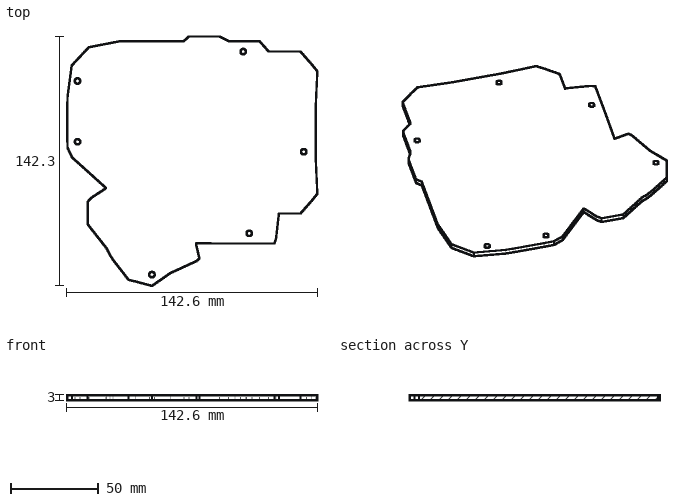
import cadquery as cq

width = 142.63
depth = 142.27
thickness = 3.0
hole_diameter = 3.0

top_edge_y = 139.6
bottom_edge_y = 24.1
notch_corner_y = 24.3

right_end_mid_y = 87.45
shoulder_offset = 46.25
right_end_half = [
    (132.9, shoulder_offset),
    (139.2, 39.1),
    (width, 34.9),
    (141.7, 14.9),
]

left_and_top_edge = [
    (0.1, 78.9),
    (0, 84.6),
    (0, 102.6),
    (0.1, 107.6),
    (2.5, 125.6),
    (12.3, 136.1),
    (30.2, top_edge_y),
    (66.5, top_edge_y),
    (69.3, depth),
    (86.7, depth),
    (92.0, top_edge_y),
    (109.6, top_edge_y),
    (114.8, right_end_mid_y + shoulder_offset),
]

bottom_edge = [
    (120.7, right_end_mid_y - shoulder_offset),
    (119.1, 27.1),
    (118.1, bottom_edge_y),
    (95.7, bottom_edge_y),
    (73.4, notch_corner_y),
]

lobe_edge = [
    (75.4, 15.7),
    (73.8, 14.2),
    (58.8, 7.3),
    (48.3, 0),
    (39.0, 2.5),
    (35.0, 3.4),
    (26.0, 15.0),
    (24.4, 17.5),
    (22.3, 21.6),
    (11.6, 35.2),
    (11.6, 48.0),
    (13.9, 50.4),
    (22.1, 55.8),
    (2.7, 73.3),
]

hole_centers = [
    (5.9, 116.8),
    (5.9, 82.2),
    (100.3, 133.6),
    (134.8, 76.5),
    (103.7, 30.0),
    (48.3, 6.5),
]


def right_end():
    """Points of the right end from its upper corner down to its lower corner."""
    upper = [(x, right_end_mid_y + offset) for x, offset in right_end_half]
    lower = [(x, right_end_mid_y - offset) for x, offset in reversed(right_end_half)]
    return upper + lower


def plate():
    """Flat plate extruded from the complete outline."""
    outline = left_and_top_edge + right_end() + bottom_edge + lobe_edge
    return cq.Workplane("XY").polyline(outline).close().extrude(thickness)


def mounting_holes():
    """Cylinders that cut the mounting holes through the plate."""
    return cq.Workplane("XY").pushPoints(hole_centers).circle(hole_diameter / 2).extrude(thickness)


result = plate().cut(mounting_holes())